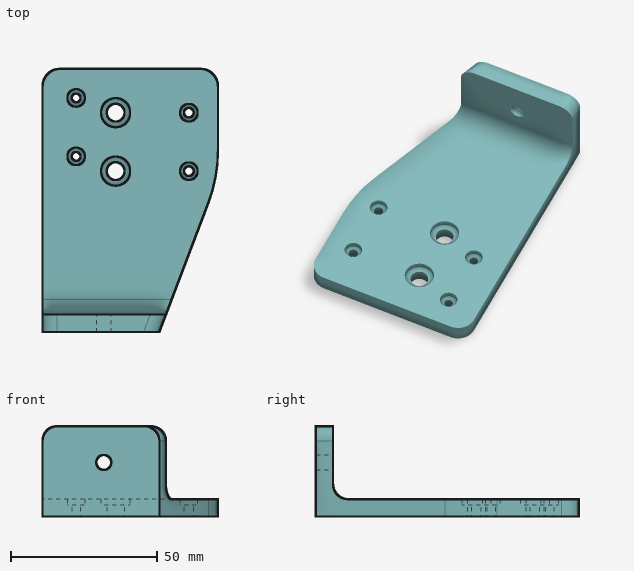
import cadquery as cq
import math

length = 90.0
back_width = 60.0
front_width = 40.0
height = 31.0
plate_thickness = 6.0
wall_thickness = 6.0

taper_angle = 20.8
taper_blend_radius = 50.0
plate_corner_radius = 6.0
wall_corner_radius = 5.0
inner_fillet_radius = 5.0

large_hole_diameter = 6.0
large_bore_diameter = 10.0
small_bore_diameter = 6.0
left_hole_diameter = 3.0
right_hole_diameter = 3.2
bore_depth = 2.0
hole_pitch = 20.0
large_hole_x = 25.0
left_hole_x = 11.5
right_hole_x = 50.0
main_row_y = length - 15.0
left_row_y = length - 10.0

wall_hole_diameter = 5.0
wall_hole_x = 21.0
wall_hole_z = 18.5

taper_length = (back_width - front_width) / math.tan(math.radians(taper_angle))


def plan_prism(prism_height):
    """Plate outline, extruded up from the underside."""
    return (
        cq.Workplane("XY")
        .polyline([
            (0, 0),
            (front_width, 0),
            (back_width, taper_length),
            (back_width, length),
            (0, length),
        ])
        .close()
        .extrude(prism_height)
    )


def make_plate():
    plate = plan_prism(plate_thickness)
    plate = plate.edges("|Z and >Y").fillet(plate_corner_radius)
    taper_corner = cq.selectors.NearestToPointSelector((back_width, taper_length, plate_thickness / 2))
    return plate.edges(taper_corner).fillet(taper_blend_radius)


def make_wall():
    """Front wall with its inner fillet, cut to the tapered plan outline."""
    fillet_end_y = wall_thickness + inner_fillet_radius
    fillet_top_z = plate_thickness + inner_fillet_radius
    profile = (
        cq.Workplane("YZ")
        .moveTo(0, 0)
        .lineTo(fillet_end_y, 0)
        .lineTo(fillet_end_y, plate_thickness)
        .radiusArc((wall_thickness, fillet_top_z), inner_fillet_radius)
        .lineTo(wall_thickness, height)
        .lineTo(0, height)
        .close()
        .extrude(back_width)
    )
    wall = profile.intersect(plan_prism(height))
    return wall.faces(">Z").edges("<X or >X").fillet(wall_corner_radius)


def cut_counterbored_pair(body, x, back_y, hole_diameter, bore_diameter):
    """Two counterbored holes, one pitch apart along Y."""
    centers = [(x, back_y), (x, back_y - hole_pitch)]
    return (
        body.copyWorkplane(cq.Workplane("XY", origin=(0, 0, plate_thickness)))
        .pushPoints(centers)
        .cboreHole(hole_diameter, bore_diameter, bore_depth)
    )


def cut_wall_hole(body):
    drill = (
        cq.Workplane("XZ")
        .center(wall_hole_x, wall_hole_z)
        .circle(wall_hole_diameter / 2)
        .extrude(-wall_thickness)
    )
    return body.cut(drill)


bracket = make_plate().union(make_wall())
bracket = cut_counterbored_pair(bracket, large_hole_x, main_row_y, large_hole_diameter, large_bore_diameter)
bracket = cut_counterbored_pair(bracket, left_hole_x, left_row_y, left_hole_diameter, small_bore_diameter)
bracket = cut_counterbored_pair(bracket, right_hole_x, main_row_y, right_hole_diameter, small_bore_diameter)
result = cut_wall_hole(bracket)